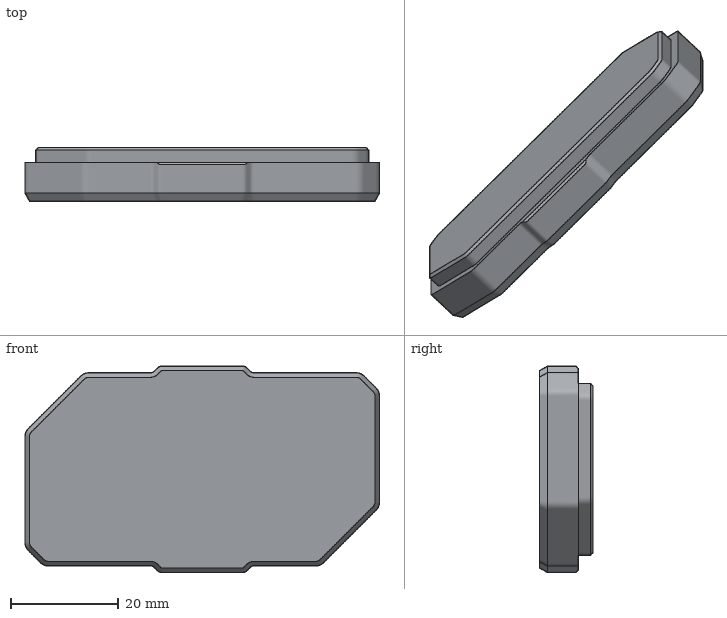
import cadquery as cq
import math

total_length = 66.0
total_depth = 10.0
total_height = 38.4
plate_height = 36.0
tab_rise = (total_height - plate_height) / 2
tab_half_width = 8.0
large_corner_cut = 11.0
small_corner_cut = 3.5
corner_radius = 2.0
tab_radius = 1.0

bevel_depth = 1.5
bevel_width = 0.85
tab_back_bevel = 0.45

pad_depth = 2.8
pad_inset = 2.0
pad_chamfer = 0.5
plate_depth = total_depth - pad_depth


def symmetric_prism(upper_points, depth):
    """Prism from Y = 0 on the upper points and their half-turn copy; positive depth goes toward -Y."""
    lower_points = [(-x, -z) for x, z in upper_points]
    return cq.Workplane("XZ").polyline(upper_points + lower_points).close().extrude(depth)


def eight_sided_body(inset, depth):
    """Rectangle with two large and two small cut corners, moved in by inset, corners rounded."""
    half_length = total_length / 2 - inset
    half_height = plate_height / 2 - inset
    cut_shrink = inset * (2 - math.sqrt(2))
    large_cut = large_corner_cut - cut_shrink
    small_cut = small_corner_cut - cut_shrink
    upper_points = [
        (-half_length, half_height - large_cut),
        (-half_length + large_cut, half_height),
        (half_length - small_cut, half_height),
        (half_length, half_height - small_cut),
    ]
    return symmetric_prism(upper_points, depth).edges("|Y").fillet(corner_radius)


def make_plate():
    """Tabbed plate with a beveled front face."""
    tab_foot = tab_half_width + tab_rise
    tab_points = [
        (-tab_foot, plate_height / 2),
        (-tab_half_width, total_height / 2),
        (tab_half_width, total_height / 2),
        (tab_foot, plate_height / 2),
    ]
    plate = eight_sided_body(0, plate_depth).union(symmetric_prism(tab_points, plate_depth))

    tab_zone = cq.selectors.BoxSelector(
        (-tab_foot - tab_rise, -plate_depth, -total_height),
        (tab_foot + tab_rise, 0, total_height),
    )
    plate = plate.edges("|Y").edges(tab_zone).fillet(tab_radius)
    return plate.faces("<Y").chamfer(bevel_depth, bevel_width)


def make_tab_bevel_cutter():
    """Wedge along X that bevels the back edge of the upper tab."""
    top = total_height / 2
    return (
        cq.Workplane("YZ")
        .polyline([(0, top - tab_back_bevel), (0, top), (-tab_back_bevel, top)])
        .close()
        .extrude(total_length / 2, both=True)
    )


def make_pad():
    """Pad from Y = 0 toward +Y, with a chamfered back face."""
    return eight_sided_body(pad_inset, -pad_depth).faces(">Y").chamfer(pad_chamfer)


upper_cutter = make_tab_bevel_cutter()
lower_cutter = upper_cutter.mirror("XY")
result = make_plate().cut(upper_cutter).cut(lower_cutter).union(make_pad())